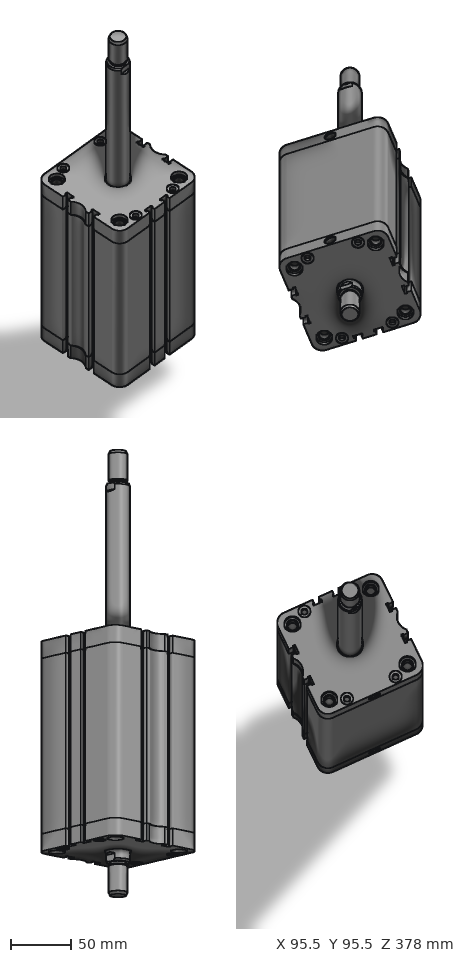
import cadquery as cq
import math

TOTAL_LENGTH = 378.0
SIDE = 95.5
CORNER_RADIUS = 9.5
HALF_SIDE = SIDE / 2

ROD_DIAMETER = 20.0
THREAD_DIAMETER = 16.0
THREAD_LENGTH = 28.0
THREAD_CHAMFER_LENGTH = 2.5
UNDERCUT_DIAMETER = 13.5
UNDERCUT_LENGTH = 3.0
SHOULDER_CHAMFER_DEPTH = 0.8
SHOULDER_CHAMFER_LENGTH = 2.0
FLAT_SPACING = 17.0
FLAT_LENGTH = 6.0

LOWER_ROD_LENGTH = 37.5
HOUSING_LENGTH = 178.8
CAP_THICKNESS = 14.7
BARREL_LENGTH = HOUSING_LENGTH - 2 * CAP_THICKNESS
BARREL_BOTTOM = LOWER_ROD_LENGTH + CAP_THICKNESS
HOUSING_MIDDLE = LOWER_ROD_LENGTH + HOUSING_LENGTH / 2

SLOT_NECK_WIDTH = 5.5
SLOT_WIDTH = 8.0
SLOT_HEAD_HEIGHT = 2.0
Y_FACE_SLOT_DEPTH = 6.0
X_FACE_SLOT_DEPTH = 5.0
Y_FACE_SLOT_OFFSET = 14.7
X_FACE_SLOT_OFFSET = 9.0
GROOVE_RADIUS = 12.5
CAP_GROOVE_HALF_WIDTH = 8.7
BARREL_GROOVE_HALF_WIDTH = 8.0
BARREL_EDGE_RADIUS = 0.95

ROD_RECESS_DIAMETER = 22.0
ROD_RECESS_DEPTH = 2.0
MOUNT_SPACING = 72.0
MOUNT_BORE_DIAMETER = 13.5
MOUNT_BORE_DEPTH = 3.8
MOUNT_CHAMFER_DIAMETER = 10.0
MOUNT_HOLE_DIAMETER = 8.5
MOUNT_CHAMFER = (MOUNT_CHAMFER_DIAMETER - MOUNT_HOLE_DIAMETER) / 2
MOUNT_HOLE_DEPTH = 11.5
SCREW_SPACING_X = 83.0
SCREW_SPACING_Y = 44.5
SCREW_BORE_DIAMETER = 10.2
SCREW_BORE_DEPTH = 0.8
SOCKET_DIAMETER = 5.3
SOCKET_DEPTH = 3.8
PORT_MOUTH_DIAMETER = 10.2
PORT_DIAMETER = 8.7
PORT_DEPTH = 11.5
PORT_CHAMFER = (PORT_MOUTH_DIAMETER - PORT_DIAMETER) / 2


def cylinder(diameter, length, bottom):
    """Cylinder on the Z axis that starts at height bottom."""
    return cq.Workplane("XY").workplane(offset=bottom).circle(diameter / 2).extrude(length)


def t_slot(length, offset, depth):
    """T-slot cutter for the +Y face, centred at X = offset."""
    neck = cq.Workplane("XY").center(offset, HALF_SIDE - depth / 2)
    neck = neck.rect(SLOT_NECK_WIDTH, depth).extrude(length)
    head = cq.Workplane("XY").center(offset, HALF_SIDE - depth + SLOT_HEAD_HEIGHT / 2)
    head = head.rect(SLOT_WIDTH, SLOT_HEAD_HEIGHT).extrude(length)
    return neck.union(head)


def housing_profile(length, groove_half_width):
    """Rounded square bar with the slots and grooves, standing on Z = 0."""
    bar = cq.Workplane("XY").rect(SIDE, SIDE).extrude(length).edges("|Z").fillet(CORNER_RADIUS)
    groove_axis = HALF_SIDE + math.sqrt(GROOVE_RADIUS**2 - groove_half_width**2)
    groove = cq.Workplane("XY").center(0, groove_axis).circle(GROOVE_RADIUS).extrude(length)
    for side in (-1, 1):
        y_slot = t_slot(length, side * Y_FACE_SLOT_OFFSET, Y_FACE_SLOT_DEPTH)
        x_slot = t_slot(length, side * X_FACE_SLOT_OFFSET, X_FACE_SLOT_DEPTH)
        x_slot = x_slot.rotate((0, 0, 0), (0, 0, 1), -90)
        bar = bar.cut(y_slot).cut(y_slot.mirror("XZ")).cut(x_slot)
    return bar.cut(groove).cut(groove.mirror("XZ"))


def make_barrel():
    """Profile tube between the caps, with a close hole for the rod."""
    bar = housing_profile(BARREL_LENGTH, BARREL_GROOVE_HALF_WIDTH)
    slot_edge = Y_FACE_SLOT_OFFSET + SLOT_NECK_WIDTH / 2
    for x in (-slot_edge, -BARREL_GROOVE_HALF_WIDTH, BARREL_GROOVE_HALF_WIDTH, slot_edge):
        for y in (-HALF_SIDE, HALF_SIDE):
            edge = cq.selectors.NearestToPointSelector((x, y, BARREL_LENGTH / 2))
            bar = bar.edges(edge).fillet(BARREL_EDGE_RADIUS)
    return bar.cut(cylinder(ROD_DIAMETER, BARREL_LENGTH, 0)).translate((0, 0, BARREL_BOTTOM))


def make_cap():
    """End cap standing on Z = 0, with its outer face up."""
    cap = housing_profile(CAP_THICKNESS, CAP_GROOVE_HALF_WIDTH)
    cap = cap.cut(cylinder(ROD_DIAMETER, CAP_THICKNESS, 0))
    cap = cap.cut(cylinder(ROD_RECESS_DIAMETER, ROD_RECESS_DEPTH, CAP_THICKNESS - ROD_RECESS_DEPTH))

    face = cq.Workplane("XY").workplane(offset=CAP_THICKNESS)
    mounts = face.rect(MOUNT_SPACING, MOUNT_SPACING, forConstruction=True).vertices()
    cap = cap.cut(mounts.circle(MOUNT_BORE_DIAMETER / 2).extrude(-MOUNT_BORE_DEPTH))
    cap = cap.cut(mounts.circle(MOUNT_HOLE_DIAMETER / 2).extrude(-MOUNT_HOLE_DEPTH))
    bore_floor = face.workplane(offset=-MOUNT_BORE_DEPTH)
    mouths = bore_floor.rect(MOUNT_SPACING, MOUNT_SPACING, forConstruction=True).vertices()
    cap = cap.cut(mouths.circle(MOUNT_CHAMFER_DIAMETER / 2).extrude(-MOUNT_CHAMFER, taper=45))

    screws = face.rect(SCREW_SPACING_X, SCREW_SPACING_Y, forConstruction=True).vertices()
    cap = cap.cut(screws.circle(SCREW_BORE_DIAMETER / 2).extrude(-SCREW_BORE_DEPTH))
    cap = cap.cut(screws.circle(SOCKET_DIAMETER / 2).extrude(-SCREW_BORE_DEPTH - SOCKET_DEPTH))

    port = cq.Workplane("YZ").workplane(offset=-HALF_SIDE).center(0, CAP_THICKNESS / 2)
    port_hole = port.circle(PORT_DIAMETER / 2).extrude(PORT_DEPTH)
    port_mouth = port.circle(PORT_MOUTH_DIAMETER / 2).extrude(PORT_CHAMFER, taper=45)
    return cap.cut(port_hole).cut(port_mouth)


def make_rod():
    """Through rod with the same threaded end, undercut and flats at both ends."""
    half = TOTAL_LENGTH / 2
    shoulder = half - THREAD_LENGTH
    rod_radius = ROD_DIAMETER / 2
    thread_radius = THREAD_DIAMETER / 2
    undercut_radius = UNDERCUT_DIAMETER / 2
    undercut_depth = thread_radius - undercut_radius
    outline = [
        (0, 0),
        (rod_radius, 0),
        (rod_radius, shoulder - SHOULDER_CHAMFER_LENGTH),
        (rod_radius - SHOULDER_CHAMFER_DEPTH, shoulder),
        (undercut_radius, shoulder),
        (undercut_radius, shoulder + UNDERCUT_LENGTH - undercut_depth),
        (thread_radius, shoulder + UNDERCUT_LENGTH),
        (thread_radius, half - THREAD_CHAMFER_LENGTH),
        (undercut_radius, half),
        (0, half),
    ]
    upper = cq.Workplane("XZ").polyline(outline).close().revolve(360, (0, 0), (0, 1))
    flat_x = FLAT_SPACING / 2
    flat_depth = rod_radius - flat_x
    for side in (-1, 1):
        flat_outline = [
            (side * flat_x, shoulder),
            (side * flat_x, shoulder - FLAT_LENGTH),
            (side * rod_radius, shoulder - FLAT_LENGTH - flat_depth),
            (side * rod_radius, shoulder),
        ]
        flat = cq.Workplane("XZ").polyline(flat_outline).close().extrude(rod_radius, both=True)
        upper = upper.cut(flat)
    return upper.union(upper.mirror("XY")).translate((0, 0, half))


barrel = make_barrel()
upper_cap = make_cap().translate((0, 0, BARREL_BOTTOM + BARREL_LENGTH))
lower_cap = upper_cap.mirror("XY", (0, 0, HOUSING_MIDDLE))
rod = make_rod()

result = cq.Compound.makeCompound([barrel.val(), upper_cap.val(), lower_cap.val(), rod.val()])